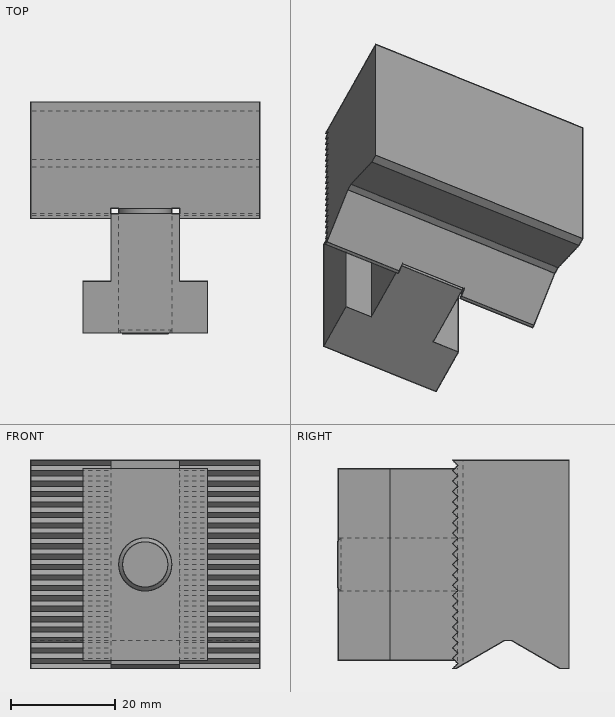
import cadquery as cq
import math


jaw_width = 44.0
jaw_height = 40.0
overall_depth = 44.5

jaw_depth = 22.4
tooth_count = 20
tooth_pitch = jaw_height / tooth_count
tooth_depth = tooth_pitch / 2
slot_width = 13.15
slot_floor_depth = 20.43

groove_center = 11.75
groove_mouth_width = 20.02
groove_floor_width = 1.42
groove_flank_angle = 30.0
groove_depth = (groove_mouth_width - groove_floor_width) / 2 * math.tan(math.radians(groove_flank_angle))

nut_height = 36.8
neck_width = slot_width
head_width = 23.9
head_thickness = 9.95
neck_end_depth = 21.4

screw_diameter = 10.2
screw_chamfer = 0.75
screw_protrusion = 0.2
screw_length = overall_depth - slot_floor_depth

nut_front_depth = overall_depth - screw_protrusion
head_back_depth = nut_front_depth - head_thickness


def screw_cylinder():
    """Plain cylinder from the slot floor to the foremost point of the part."""
    return (
        cq.Workplane("XZ", origin=(0, -slot_floor_depth, 0))
        .circle(screw_diameter / 2)
        .extrude(screw_length)
    )


def jaw_side_profile():
    """Points (Y, Z) of the jaw side: plain back, V groove below, saw teeth in front."""
    top = jaw_height / 2
    bottom = -top
    points = [(0, top), (0, bottom)]
    points += [
        (-groove_center + groove_mouth_width / 2, bottom),
        (-groove_center + groove_floor_width / 2, bottom + groove_depth),
        (-groove_center - groove_floor_width / 2, bottom + groove_depth),
        (-groove_center - groove_mouth_width / 2, bottom),
    ]
    for tooth in range(tooth_count):
        tip_height = bottom + tooth * tooth_pitch
        points.append((-jaw_depth, tip_height))
        points.append((-jaw_depth + tooth_depth, tip_height + tooth_pitch / 2))
    points.append((-jaw_depth, top))
    return points


def make_jaw():
    """Serrated jaw with a vertical key slot in its toothed face."""
    body = (
        cq.Workplane("YZ")
        .polyline(jaw_side_profile())
        .close()
        .extrude(jaw_width / 2, both=True)
    )
    slot = (
        cq.Workplane("XZ", origin=(0, -slot_floor_depth, 0))
        .rect(slot_width, jaw_height)
        .extrude(jaw_depth - slot_floor_depth)
    )
    return body.cut(slot)


def make_t_nut():
    """T-shaped nut with a through hole for the screw."""
    neck = (
        cq.Workplane("XZ", origin=(0, -neck_end_depth, 0))
        .rect(neck_width, nut_height)
        .extrude(head_back_depth - neck_end_depth)
    )
    head = (
        cq.Workplane("XZ", origin=(0, -head_back_depth, 0))
        .rect(head_width, nut_height)
        .extrude(head_thickness)
    )
    return neck.union(head).cut(screw_cylinder())


def make_screw():
    """Screw resting on the slot floor, with a chamfered front tip."""
    return screw_cylinder().faces("<Y").chamfer(screw_chamfer)


jaw = make_jaw()
t_nut = make_t_nut()
screw = make_screw()

result = cq.Compound.makeCompound([jaw.val(), t_nut.val(), screw.val()])